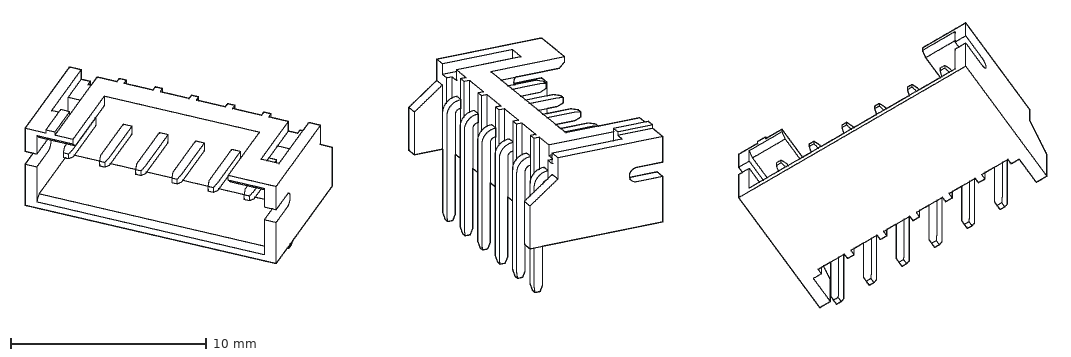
import cadquery as cq
import math


width = 13.9
depth = 7.6
height = 4.8
side_wall = 0.65
floor_thickness = 0.7
roof_thickness = 0.6
mouth_chamfer = 0.3
back_wall_front = 4.23
back_wall_rear = 6.0
cavity_width = width - 2 * side_wall

slope_bottom = 2.4
slope_top = 3.6

notch_bottom = 2.56
notch_height = 0.79
notch_depth = 1.9

window_width = 8.59
roof_slot_width = 1.0
roof_slot_front = 2.0
rib_width = 0.5
rib_height = 0.2

pin_count = 6
pitch = 2.0
pin_size = 0.49
pin_height = 3.09
pin_tip_y = 0.79
leg_y = 6.27
leg_length = 3.4
inner_bend_radius = 0.28
tip_length = 0.38
tip_inset = 0.1
groove_width = 1.6
groove_depth = 0.3

pin_positions = [(i - (pin_count - 1) / 2) * pitch for i in range(pin_count)]


def block(x0, x1, y0, y1, z0, z1):
    """Box given by its limits along X, Y and Z."""
    return cq.Workplane("XY").box(x1 - x0, y1 - y0, z1 - z0, centered=False).translate((x0, y0, z0))


def extrude_across(profile, length):
    """Extrude a YZ profile equally to both sides of X = 0."""
    return profile.extrude(length / 2, both=True)


def make_shell():
    """Side walls, floor, roof and back wall around the mating cavity."""
    outline = cq.Workplane("YZ").polyline([
        (0, 0),
        (depth, 0),
        (depth, slope_bottom),
        (back_wall_rear, slope_top),
        (back_wall_rear, height),
        (0, height),
    ]).close()
    shell = extrude_across(outline, width)

    inner_x = cavity_width / 2
    shell = shell.cut(block(-inner_x, inner_x, back_wall_rear, depth, 0, height))

    cavity_top = height - roof_thickness
    cavity = cq.Workplane("YZ").polyline([
        (0, floor_thickness - mouth_chamfer),
        (mouth_chamfer, floor_thickness),
        (back_wall_front, floor_thickness),
        (back_wall_front, cavity_top),
        (mouth_chamfer, cavity_top),
        (0, cavity_top + mouth_chamfer),
    ]).close()
    return shell.cut(extrude_across(cavity, cavity_width))


def side_notches():
    """One round-ended cut running through both side walls."""
    radius = notch_height / 2
    straight_end = notch_depth - radius
    notch_top = notch_bottom + notch_height
    profile = (
        cq.Workplane("YZ")
        .moveTo(0, notch_bottom)
        .lineTo(straight_end, notch_bottom)
        .threePointArc((notch_depth, notch_bottom + radius), (straight_end, notch_top))
        .lineTo(0, notch_top)
        .close()
    )
    return extrude_across(profile, width)


def roof_openings():
    """Central window open to the front, and two edge slots open to the rear."""
    roof_bottom = height - roof_thickness
    half_window = window_width / 2
    openings = block(-half_window, half_window, 0, back_wall_front, roof_bottom, height)
    slot_outer = cavity_width / 2
    slot_inner = slot_outer - roof_slot_width
    for x0 in (-slot_outer, slot_inner):
        slot = block(x0, x0 + roof_slot_width, roof_slot_front, back_wall_rear, roof_bottom, height)
        openings = openings.union(slot)
    return openings


def pin_groove(x):
    """Full-height groove in the rear of the back wall behind one pin."""
    half_width = groove_width / 2
    return block(x - half_width, x + half_width, back_wall_rear - groove_depth, back_wall_rear, 0, height)


def key_rib():
    """Polarity rib on the roof, in line with the inner edge of the left slot."""
    rib_right = roof_slot_width - cavity_width / 2
    return block(rib_right - rib_width, rib_right, 0, roof_slot_front, height, height + rib_height)


def make_pin():
    """Bent square pin at X = 0 with tapered ends."""
    half = pin_size / 2
    outer_radius = inner_bend_radius + pin_size
    bend_y = leg_y - half - inner_bend_radius
    bend_z = pin_height - half - inner_bend_radius
    shank_y = pin_tip_y + tip_length
    shank_z = tip_length - leg_length
    diagonal = math.sqrt(0.5)

    profile = (
        cq.Workplane("YZ")
        .moveTo(shank_y, pin_height + half)
        .lineTo(bend_y, pin_height + half)
        .threePointArc(
            (bend_y + outer_radius * diagonal, bend_z + outer_radius * diagonal),
            (leg_y + half, bend_z),
        )
        .lineTo(leg_y + half, shank_z)
        .lineTo(leg_y - half, shank_z)
        .lineTo(leg_y - half, bend_z)
        .threePointArc(
            (bend_y + inner_bend_radius * diagonal, bend_z + inner_bend_radius * diagonal),
            (bend_y, pin_height - half),
        )
        .lineTo(shank_y, pin_height - half)
        .close()
    )
    shank = extrude_across(profile, pin_size)

    taper = math.degrees(math.atan2(tip_inset, tip_length))
    contact_tip = (
        cq.Workplane("XZ", origin=(0, shank_y, pin_height))
        .rect(pin_size, pin_size)
        .extrude(tip_length, taper=taper)
    )
    leg_tip = (
        cq.Workplane("XY", origin=(0, leg_y, shank_z))
        .rect(pin_size, pin_size)
        .extrude(-tip_length, taper=taper)
    )
    return shank.union(contact_tip).union(leg_tip)


shroud = make_shell().cut(side_notches()).cut(roof_openings())
for x in pin_positions:
    shroud = shroud.cut(pin_groove(x))

result = shroud.union(key_rib())
pin = make_pin()
for x in pin_positions:
    result = result.union(pin.translate((x, 0, 0)))